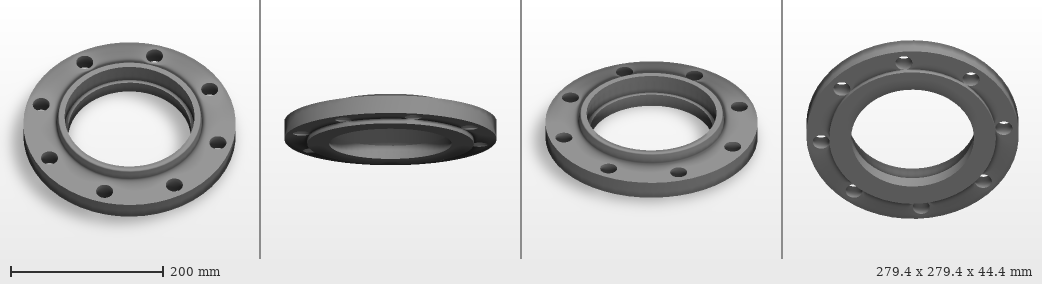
import cadquery as cq

flange_radius = 139.7
flange_thickness = 23.7
face_height = 6.5
hub_height = 14.2

hub_base_radius = 96.0
hub_top_radius = 93.5
hub_root_fillet = 2.0
hub_rim_fillet = 1.7

bore_radius = 80.7
socket_radius = 85.5
socket_depth = 26.5

bolt_count = 8
bolt_circle_radius = 120.7
bolt_hole_radius = 11.2
face_nick_depth = 0.05

face_radius = bolt_circle_radius - bolt_hole_radius + face_nick_depth
flange_bottom = face_height
flange_top = flange_bottom + flange_thickness
total_height = flange_top + hub_height


def make_body():
    """Raised face, flange plate and tapered hub, turned as one solid."""
    profile = [
        (0, 0),
        (face_radius, 0),
        (face_radius, flange_bottom),
        (flange_radius, flange_bottom),
        (flange_radius, flange_top),
        (hub_base_radius, flange_top),
        (hub_top_radius, total_height),
        (0, total_height),
    ]
    axis_start = (0, 0)
    axis_end = (0, 1)
    body = cq.Workplane("XZ").polyline(profile).close().revolve(360, axis_start, axis_end)
    body = body.faces(">Z").edges().fillet(hub_rim_fillet)

    point_on_ring = (bolt_circle_radius, 0, flange_top)
    flange_ring = body.faces(cq.selectors.NearestToPointSelector(point_on_ring))
    hub_root = flange_ring.edges(cq.selectors.RadiusNthSelector(0))
    return hub_root.fillet(hub_root_fillet)


def make_bore():
    """Through bore with a wider socket opening at the hub end."""
    bore = cq.Workplane("XY").circle(bore_radius).extrude(total_height)
    socket = (
        cq.Workplane("XY")
        .workplane(offset=total_height - socket_depth)
        .circle(socket_radius)
        .extrude(socket_depth)
    )
    return bore.union(socket)


def make_bolt_holes():
    """Ring of bolt holes passing through the full height."""
    return (
        cq.Workplane("XY")
        .polarArray(bolt_circle_radius, 0, 360, bolt_count)
        .circle(bolt_hole_radius)
        .extrude(total_height)
    )


result = make_body().cut(make_bore()).cut(make_bolt_holes())